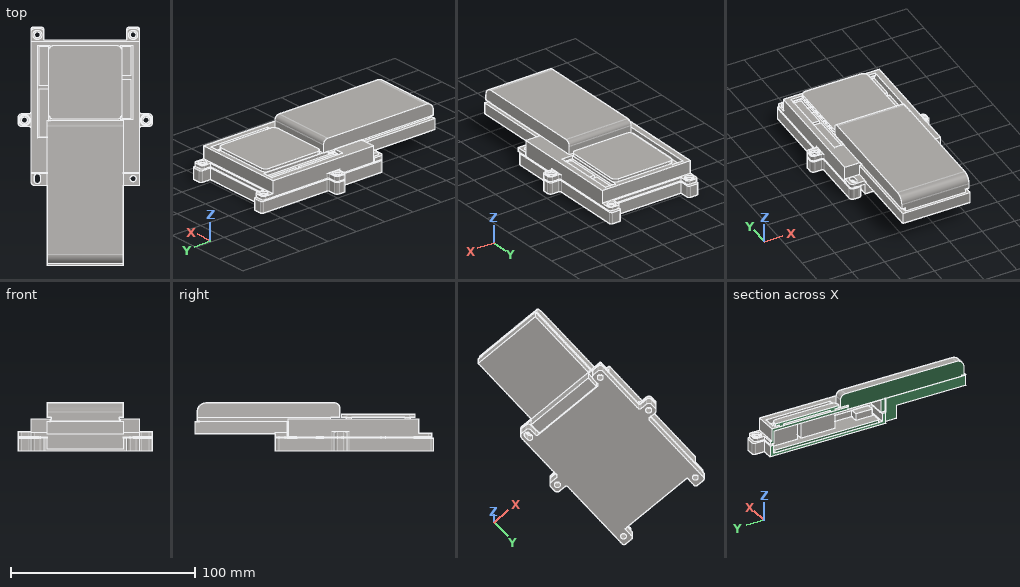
import cadquery as cq

body_width = 59.0
base_length = 86.0
base_height = 7.0
lid_bottom = 7.75
lid_top = 17.5
overall_length = 129.5
overall_height = 26.25

lug_size = 7.0
lug_corner = 2.0
lug_root = 1.0
base_rear_corner = 1.3
lid_rear_corner = 1.75
side_lug_y = -50.5
screw_hole = 3.2
rear_hole = 3.1
corner_hole_x = 26.0
rear_hole_y = -4.2
front_hole_y = -82.25
slot_length = 5.3

base_rear = -6.9
base_front = -79.4
tray_floor = 2.0
tray_half_width = 26.9
tray_rear = -9.0
tray_front = -77.0

lid_rear = -7.9
lid_front = -78.9
flange_rear = -0.85
flange_thickness = 2.0
side_lug_thickness = 2.85
rear_screw_head = 5.0
side_screw_head = 5.0
side_screw_rim = 6.1
rear_head_depth = 1.0
side_head_depth = 1.5
lid_roof = 2.0
lid_cavity_rear = -9.4
lid_cavity_front = -76.0
window_inner_x = 19.1
window_outer_x = 25.9
window_rear = -10.0
left_window_front = -60.0
right_window_front = -50.1
notch_floor = 16.0

board_half_width = 26.4
board_thickness = 1.6
board_rear = -9.6
board_front = -75.0
header_top = 15.0
header_inner_x = 20.0
left_header_outer_x = 25.0
right_header_outer_x = 24.8
left_headers = [(-10.6, -31.65), (-33.6, -59.7)]
right_headers = [(-10.6, -26.15), (-28.45, -49.65)]
socket_x = (21.7, 26.2)
socket_y = (-63.75, -74.15)

fan_size = 40.0
fan_corner = 3.0
fan_bottom = 18.25
fan_top = 20.0
fan_y = -30.0
fan_pin_spacing = 32.0
fan_pin_diameter = 3.0

holder_width = 41.4
holder_flange_top = 10.1
arm_bottom = 9.3
arm_top = notch_floor
skirt_bottom = 1.2
cover_rear = -50.8
cover_front = -128.35
cover_bottom = 18.25
cover_front_round = 5.0
cover_rear_round = 3.0
tongue_width = 37.0
tongue_rear = -55.85
tongue_lip_bottom = 16.25
tongue_lip_length = 1.4

half_width = body_width / 2
side_lug_x = half_width + lug_size / 2


def block(x_range, y_range, z_range):
    """Axis-aligned box between the given limits."""
    sizes = [abs(b - a) for a, b in (x_range, y_range, z_range)]
    middle = tuple((a + b) / 2 for a, b in (x_range, y_range, z_range))
    return cq.Workplane("XY").box(*sizes).translate(middle)


def cylinder(x, y, diameter, z_range):
    """Upright cylinder."""
    bottom, top = z_range
    return cq.Workplane("XY", origin=(x, y, bottom)).circle(diameter / 2).extrude(top - bottom)


def lug(length, z_range):
    """Lug growing along +X from the plane X = 0, with rounded tip and filleted root."""
    bottom, top = z_range
    half = lug_size / 2
    root = lug_root
    diagonal = root * (1 - 0.5 ** 0.5)
    profile = (
        cq.Workplane("XY", origin=(0, 0, bottom))
        .moveTo(-root, -half - root)
        .lineTo(0, -half - root)
        .threePointArc((diagonal, -half - diagonal), (root, -half))
        .lineTo(length, -half)
        .lineTo(length, half)
        .lineTo(root, half)
        .threePointArc((diagonal, half + diagonal), (0, half + root))
        .lineTo(-root, half + root)
        .close()
        .extrude(top - bottom)
    )
    tips = cq.selectors.BoxSelector(
        (root + 0.1, -half - 0.1, bottom), (length + 0.1, half + 0.1, top)
    )
    return profile.edges("|Z").edges(tips).fillet(lug_corner)


def side_lugs(z_range):
    """The two lugs on the left and right flanks, without holes."""
    right = lug(lug_size, z_range).translate((half_width, side_lug_y, 0))
    return right.union(right.mirror("YZ"))


def rear_lugs(rear, front, z_range, corner):
    """The two lugs on the rear corners, rounded at their rear edges."""
    outer = half_width
    inner = half_width - lug_size
    right = block((inner, outer), (front, rear), z_range)
    right = right.edges("|Z and >Y").fillet(corner)
    return right.union(right.mirror("YZ"))


def corner_slot(z_range):
    """Lengthwise slot of the front left corner."""
    bottom, top = z_range
    return (
        cq.Workplane("XY", origin=(-corner_hole_x, front_hole_y, bottom))
        .slot2D(slot_length, screw_hole, 90)
        .extrude(top - bottom)
    )


def screw_passages():
    """Everything the six fixing screws pass through, tall enough for base, lid and holder."""
    reach = (-1.0, lid_top + 1.0)
    cutter = corner_slot(reach).union(cylinder(corner_hole_x, front_hole_y, screw_hole, reach))
    for side in (-1, 1):
        cutter = cutter.union(cylinder(side * corner_hole_x, rear_hole_y, rear_hole, reach))
        cutter = cutter.union(cylinder(side * side_lug_x, side_lug_y, screw_hole, reach))
    return cutter


def make_base():
    """Open tray with two rear, two side and two front lugs."""
    height = (0, base_height)
    tray = block((-half_width, half_width), (base_front, base_rear), height)
    tray = tray.union(side_lugs(height))
    tray = tray.union(rear_lugs(0, base_rear, height, base_rear_corner))
    front_lug = lug(base_length + base_front, height).rotate((0, 0, 0), (0, 0, 1), -90)
    flanks = block((-half_width, half_width), (-base_length, base_rear), height)
    for side in (-1, 1):
        placed_lug = front_lug.translate((side * corner_hole_x, base_front, 0))
        tray = tray.union(placed_lug.intersect(flanks))
    cavity = block(
        (-tray_half_width, tray_half_width), (tray_front, tray_rear), (tray_floor, base_height)
    )
    return tray.cut(cavity).cut(screw_passages())


def make_lid():
    """Hollow lid with rear flange, side lugs, connector windows and a notch for the cover tongue."""
    flange_top = lid_bottom + flange_thickness
    flange_height = (lid_bottom, flange_top)
    side_lug_top = lid_bottom + side_lug_thickness
    lid = block((-half_width, half_width), (lid_front, lid_rear), (lid_bottom, lid_top))
    lid = lid.union(block((-half_width, half_width), (lid_rear, base_rear), flange_height))
    lid = lid.union(rear_lugs(flange_rear, base_rear, flange_height, lid_rear_corner))
    lid = lid.union(side_lugs((lid_bottom, side_lug_top)))

    lid = lid.cut(
        block(
            (-window_outer_x, window_outer_x),
            (lid_cavity_front, lid_cavity_rear),
            (lid_bottom, lid_top - lid_roof),
        )
    )
    roof = (lid_top - lid_roof, lid_top)
    lid = lid.cut(block((-window_outer_x, -window_inner_x), (left_window_front, window_rear), roof))
    lid = lid.cut(block((window_inner_x, window_outer_x), (right_window_front, window_rear), roof))
    lid = lid.cut(
        block((-window_inner_x, window_inner_x), (lid_front, tongue_rear), (notch_floor, lid_top))
    )

    lid = lid.cut(screw_passages())
    for side in (-1, 1):
        rear_head = (flange_top - rear_head_depth, flange_top)
        lid = lid.cut(cylinder(side * corner_hole_x, rear_hole_y, rear_screw_head, rear_head))
        side_head = (side_lug_top - side_head_depth, side_lug_top)
        lid = lid.cut(cylinder(side * side_lug_x, side_lug_y, side_screw_head, side_head))
        rim_depth = (side_screw_rim - side_screw_head) / 2
        bevel = cq.Solid.makeCone(
            side_screw_head / 2,
            side_screw_rim / 2,
            rim_depth,
            pnt=cq.Vector(side * side_lug_x, side_lug_y, side_lug_top - rim_depth),
        )
        lid = lid.cut(cq.Workplane(bevel))
    return lid


def make_board():
    """Circuit board on the tray floor, with two connector rows per side and a power socket."""
    board_top = tray_floor + board_thickness
    board = block(
        (-board_half_width, board_half_width), (board_front, board_rear), (tray_floor, board_top)
    )
    for y_range in left_headers:
        board = board.union(
            block((-left_header_outer_x, -header_inner_x), y_range, (board_top, header_top))
        )
    for y_range in right_headers:
        board = board.union(
            block((header_inner_x, right_header_outer_x), y_range, (board_top, header_top))
        )
    return board.union(block(socket_x, socket_y, (board_top, lid_bottom)))


def make_fan():
    """Rounded square fan plate standing on four pins."""
    plate = (
        cq.Workplane("XY", origin=(0, fan_y, fan_bottom))
        .rect(fan_size, fan_size)
        .extrude(fan_top - fan_bottom)
        .edges("|Z")
        .fillet(fan_corner)
    )
    pins = (
        cq.Workplane("XY", origin=(0, fan_y, lid_top))
        .rect(fan_pin_spacing, fan_pin_spacing, forConstruction=True)
        .vertices()
        .circle(fan_pin_diameter / 2)
        .extrude(fan_bottom - lid_top)
    )
    return plate.union(pins)


def make_holder():
    """Front flange with a skirt closing the base and an arm that carries the antenna."""
    half = holder_width / 2
    flange = block(
        (-half_width, half_width), (-base_length, base_front), (lid_bottom, holder_flange_top)
    )
    flange = flange.edges("|Z and <X and <Y").fillet(lug_corner)
    skirt = block((-half, half), (-base_length, base_front), (skirt_bottom, holder_flange_top))
    arm = block((-half, half), (-overall_length, base_front), (arm_bottom, arm_top))
    return flange.union(skirt).union(arm).cut(screw_passages())


def make_cover():
    """Antenna cover with rounded ends and a narrower tongue underneath, raised a little at its lip."""
    half = holder_width / 2
    shell = block((-half, half), (cover_front, cover_rear), (cover_bottom, overall_height))
    shell = shell.edges(">Z and <Y").fillet(cover_front_round)
    shell = shell.edges(">Z and >Y").fillet(cover_rear_round)
    tongue_x = (-tongue_width / 2, tongue_width / 2)
    lip_rear = cover_front + tongue_lip_length
    tongue = block(tongue_x, (lip_rear, tongue_rear), (arm_top, cover_bottom))
    lip = block(tongue_x, (cover_front, lip_rear), (tongue_lip_bottom, cover_bottom))
    return shell.union(tongue).union(lip)


base = make_base()
lid = make_lid()
board = make_board()
fan = make_fan()
holder = make_holder()
cover = make_cover()

result = cq.Compound.makeCompound(
    [base.val(), lid.val(), board.val(), fan.val(), holder.val(), cover.val()]
)